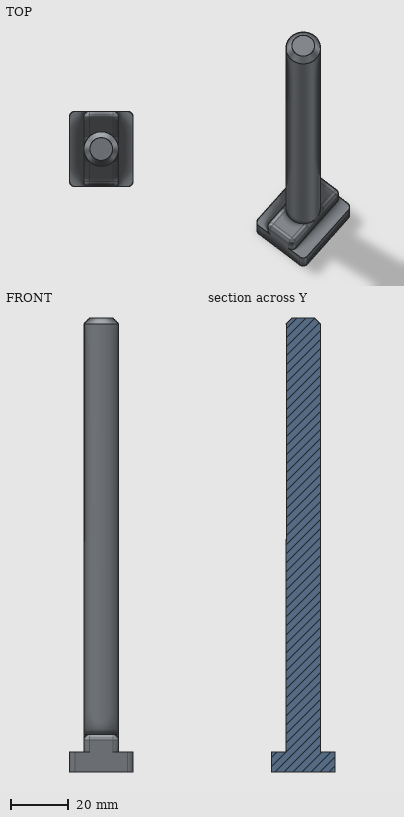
import cadquery as cq

total_height = 157.0
head_width = 22.0
head_length = 26.0

shank_diameter = 12.0
tip_chamfer = 2.0

foot_height = 7.0
head_height = 13.0
neck_clearance = 0.06
neck_width = shank_diameter + neck_clearance
edge_radius = 1.9


def upright_block(width, height):
    return cq.Workplane("XY").box(width, head_length, height, centered=(True, True, False))


def foot():
    return upright_block(head_width, foot_height).edges("|Z").fillet(edge_radius)


def shank():
    return (
        cq.Workplane("XY")
        .workplane(offset=foot_height)
        .circle(shank_diameter / 2)
        .extrude(total_height - foot_height)
        .faces(">Z")
        .chamfer(tip_chamfer)
    )


def round_neck_edges(body):
    """Round the neck's upright corners and top border; the rounding dies out beside the shank."""
    above_foot = cq.selectors.BoxSelector(
        (-neck_width, -head_length, foot_height + edge_radius / 2),
        (neck_width, head_length, head_height + edge_radius / 2),
    )
    return body.edges(above_foot).edges("|X or |Y or |Z").fillet(edge_radius)


bolt = foot().union(upright_block(neck_width, head_height)).union(shank())
result = round_neck_edges(bolt)